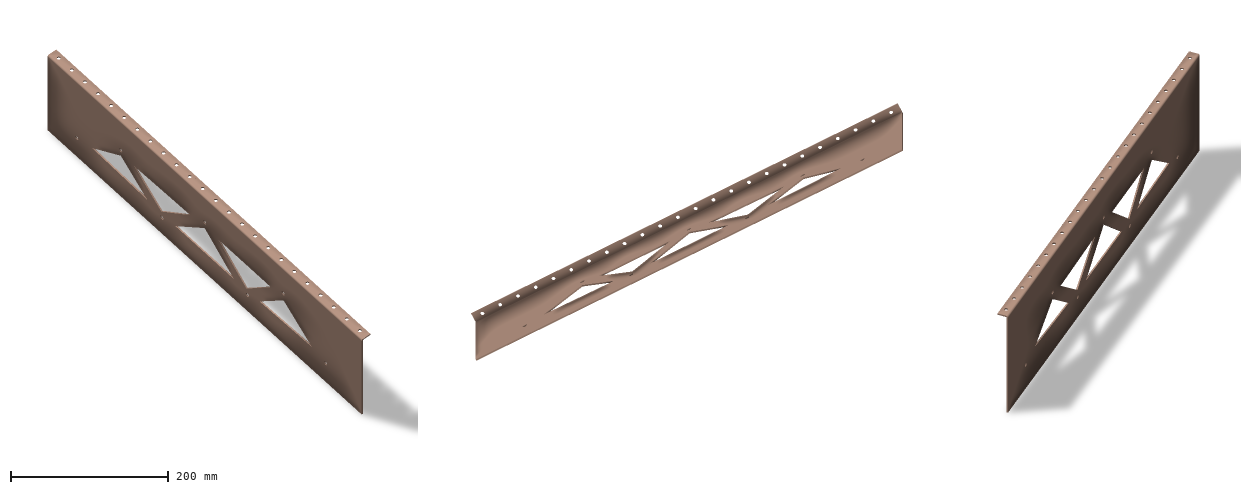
import cadquery as cq

length = 609.5
depth = 14.5
height = 152.5
sheet = 2.0
bend_radius = 2.5

flange_hole_diameter = 5.0
flange_hole_count = 24
flange_hole_pitch = length / flange_hole_count
flange_hole_from_back = 7.0

web_hole_diameter = 6.0
upper_joint_z = 25.5
lower_joint_z = -44.0
end_joint_z = -38.5
web_holes = [
    (-248.0, end_joint_z),
    (-163.0, 17.5),
    (-83.0, lower_joint_z),
    (0, upper_joint_z),
    (83.0, lower_joint_z),
    (152.5, upper_joint_z),
    (235.0, end_joint_z),
]

windows = [
    [(-218.0, -30.5), (-163.0, 7.0), (-111.5, -34.0)],
    [(-137.0, 10.5), (-27.5, 14.0), (-84.0, -32.5)],
    [(-56.5, -36.0), (0, 14.0), (56.5, -36.0)],
    [(26.0, 16.0), (128.5, 16.0), (81.0, -32.5)],
    [(106.5, -34.0), (153.0, 12.0), (208.0, -30.5)],
]

front = -depth / 2
back = depth / 2
top = height / 2


def folded_sheet():
    """L-shaped sheet: upright web at the front, flange running back from its top."""
    web = cq.Workplane("XY").box(length, sheet, height).translate((0, front + sheet / 2, 0))
    flange = cq.Workplane("XY").box(length, depth, sheet).translate((0, 0, top - sheet / 2))
    return web.union(flange).edges("|X and <Y and >Z").fillet(bend_radius)


def web_cutters():
    """Joint holes and triangular windows, running through the full depth."""
    plane = cq.Workplane("XZ", origin=(0, back, 0))
    cutters = plane.pushPoints(web_holes).circle(web_hole_diameter / 2).extrude(depth)
    for corners in windows:
        cutters = cutters.union(plane.polyline(corners).close().extrude(depth))
    return cutters


def flange_cutters():
    """Evenly pitched holes down through the flange."""
    return (
        cq.Workplane("XY", origin=(0, back - flange_hole_from_back, top))
        .rarray(flange_hole_pitch, 6, flange_hole_count, 1)
        .circle(flange_hole_diameter / 2)
        .extrude(-sheet)
    )


result = folded_sheet().cut(web_cutters()).cut(flange_cutters())